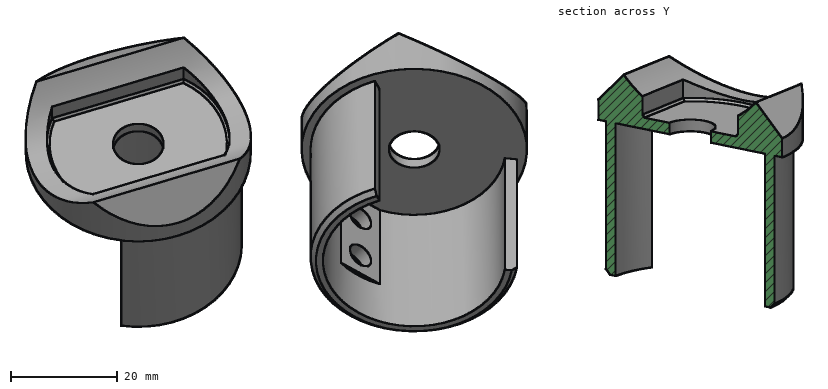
import cadquery as cq
import math

cap_radius = 21.2
left_shoulder_height = 3.77
right_shoulder_height = 4.03
saddle_height = 3.35
saddle_radius = 21.0

skirt_height = 29.98
skirt_outer_radius = 19.5
skirt_inner_radius = 17.17
skirt_opening_angle = 120.0
skirt_chamfer = 1.0

recess_width = 21.95
recess_radius = skirt_inner_radius
recess_floor = 2.35
recess_chamfer = 0.5
center_hole_diameter = 9.5

pad_width = 9.15
pad_height = 19.93
pad_hole_diameter = 5.0
pad_hole_depths = (5.0, 15.0)

cut_length = 3 * cap_radius


def make_cap():
    """Disc bounded above by the 45 degree shoulders and the saddle."""
    apex_x = (right_shoulder_height - left_shoulder_height) / 2
    apex_height = right_shoulder_height + cap_radius - apex_x
    blank = (
        cq.Workplane("XZ")
        .polyline([
            (-cap_radius, 0),
            (cap_radius, 0),
            (cap_radius, right_shoulder_height),
            (apex_x, apex_height),
            (-cap_radius, left_shoulder_height),
        ])
        .close()
        .extrude(cap_radius, both=True)
    )
    disc = cq.Workplane("XY").circle(cap_radius).extrude(apex_height)
    saddle = (
        cq.Workplane("XZ")
        .center(0, saddle_height + saddle_radius)
        .circle(saddle_radius)
        .extrude(cut_length, both=True)
    )
    return disc.intersect(blank).cut(saddle)


def make_recess():
    """Cutter with flat sides and round ends, tapered in at the floor."""
    outline = cq.Workplane("XY").workplane(offset=recess_floor)
    round_part = outline.circle(recess_radius).extrude(cap_radius)
    flat_part = outline.rect(recess_width, cut_length).extrude(cap_radius)
    return round_part.intersect(flat_part).faces("<Z").chamfer(recess_chamfer)


def make_skirt():
    """Ring with a flat inner pad, chamfered below and open over a sector."""
    outer = (
        cq.Workplane("XY")
        .circle(skirt_outer_radius)
        .extrude(-skirt_height)
        .faces("<Z")
        .chamfer(skirt_chamfer)
    )
    bore = cq.Workplane("XY").circle(skirt_inner_radius).extrude(-skirt_height)
    pad_face = math.sqrt(skirt_inner_radius**2 - (pad_width / 2) ** 2)
    pad = (
        cq.Workplane("XY")
        .center(0, pad_face + skirt_inner_radius / 2)
        .rect(pad_width, skirt_inner_radius)
        .extrude(-pad_height)
    )
    half_angle = math.radians(skirt_opening_angle / 2)
    reach_x = cut_length * math.sin(half_angle)
    reach_y = -cut_length * math.cos(half_angle)
    opening = (
        cq.Workplane("XY")
        .polyline([(0, 0), (-reach_x, reach_y), (reach_x, reach_y)])
        .close()
        .extrude(-skirt_height)
    )
    return outer.cut(bore.cut(pad)).cut(opening)


center_hole = cq.Workplane("XY").circle(center_hole_diameter / 2).extrude(cap_radius)
pad_holes = (
    cq.Workplane("XZ")
    .pushPoints([(0, -depth) for depth in pad_hole_depths])
    .circle(pad_hole_diameter / 2)
    .extrude(-cut_length)
)

cap = make_cap().cut(make_recess()).cut(center_hole)
result = cap.union(make_skirt()).cut(pad_holes)